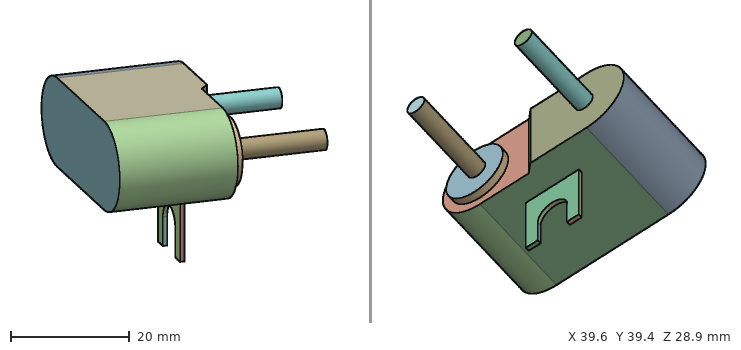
import cadquery as cq

overall_depth = 39.4
overall_height = 28.9

body_width = 39.62
body_height = 15.8
body_depth = 22.6
end_radius = body_height / 2
end_center_x = body_width / 2 - end_radius

step_depth = 1.5

seat_diameter = 12.05

pin_diameter = 3.65
pin_spacing = 22.82
pin_length = overall_depth - body_depth

tab_width = 11.25
tab_height = overall_height - body_height
tab_thickness = 0.8
tab_front_y = 15.75
slot_width = 6.2
slot_height = 8.32


def rod_along_y(diameter, x, start_y, length):
    """Cylinder on the body's mid height, running toward +Y."""
    return (
        cq.Workplane("XZ", origin=(x, start_y, 0))
        .circle(diameter / 2)
        .extrude(-length)
    )


def make_body():
    body = cq.Workplane("XZ").slot2D(body_width, body_height).extrude(-body_depth)
    step_y = body_depth - step_depth
    step = (
        cq.Workplane("XY", origin=(0, 0, -body_height / 2))
        .moveTo(0, body_depth)
        .lineTo(step_depth, step_y)
        .lineTo(body_width / 2, step_y)
        .lineTo(body_width / 2, body_depth)
        .close()
        .extrude(body_height)
    )
    seat = rod_along_y(seat_diameter, end_center_x, step_y, step_depth)
    return body.cut(step).union(seat)


def make_tab():
    bottom_z = -body_height / 2 - tab_height
    slot_radius = slot_width / 2
    arc_z = bottom_z + slot_height - slot_radius
    return (
        cq.Workplane("XZ", origin=(0, tab_front_y, 0))
        .moveTo(-tab_width / 2, -body_height / 2)
        .lineTo(-tab_width / 2, bottom_z)
        .lineTo(-slot_radius, bottom_z)
        .lineTo(-slot_radius, arc_z)
        .threePointArc((0, arc_z + slot_radius), (slot_radius, arc_z))
        .lineTo(slot_radius, bottom_z)
        .lineTo(tab_width / 2, bottom_z)
        .lineTo(tab_width / 2, -body_height / 2)
        .close()
        .extrude(-tab_thickness)
    )


result = make_body().union(make_tab())
for side in (-1, 1):
    pin = rod_along_y(pin_diameter, side * pin_spacing / 2, body_depth, pin_length)
    result = result.union(pin)